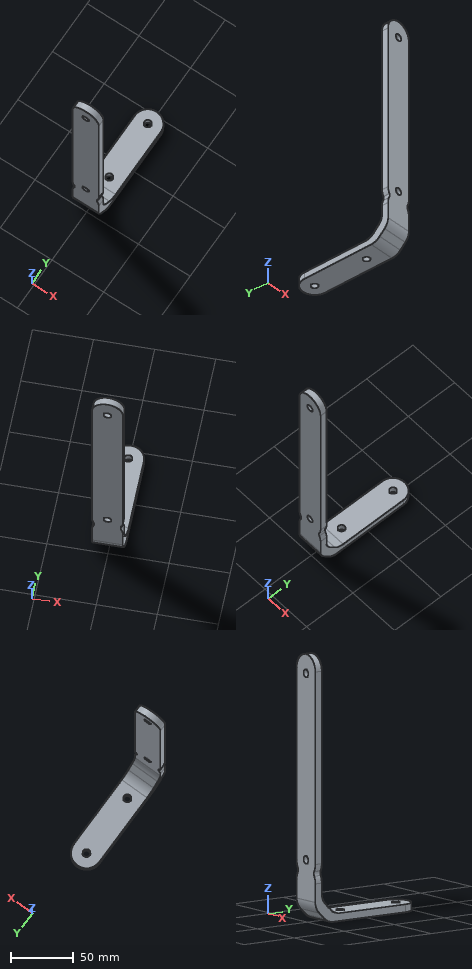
import cadquery as cq
import math

width = 25.5
thickness = 6.5
height = 219.0
depth = 102.3
end_radius = width / 2

bevel = 12.7
bend_radius = 12.7

hole_diameter = 6.4
upright_hole_heights = (50.8, 203.3)
foot_hole_depths = (34.2, 89.8)

waist_height = 41.2
waist_half_length = 7.9
waist_depth = 2.0
waist_root_radius = 4.0

waist_angle = 2 * math.atan(waist_depth / waist_half_length)
waist_radii_sum = waist_half_length / math.sin(waist_angle)
waist_shoulder_radius = waist_radii_sum - waist_root_radius


def make_angle():
    """L-shaped side profile in the YZ plane, extruded across the width."""
    profile = (
        cq.Workplane("YZ")
        .moveTo(bevel, 0)
        .lineTo(depth, 0)
        .lineTo(depth, thickness)
        .lineTo(thickness + bevel, thickness)
        .lineTo(thickness, thickness + bevel)
        .lineTo(thickness, height)
        .lineTo(0, height)
        .lineTo(0, bevel)
        .close()
        .extrude(width / 2, both=True)
    )
    margin = 2.2
    corner_reach = thickness + bevel + margin
    corner_box = cq.selectors.BoxSelector(
        (-width, -margin, -margin), (width, corner_reach, corner_reach)
    )
    return profile.edges("|X").edges(corner_box).fillet(bend_radius)


def round_ends(body):
    """Trim the free end of each leg to a half circle of the strap width."""
    upright_outline = round_ended_outline("XZ", height).extrude(-depth)
    foot_outline = round_ended_outline("XY", depth).extrude(height)
    return body.intersect(upright_outline).intersect(foot_outline)


def round_ended_outline(plane, length):
    """Strap outline from the corner to a half-round tip at the given length."""
    return (
        cq.Workplane(plane)
        .moveTo(-width / 2, 0)
        .lineTo(width / 2, 0)
        .lineTo(width / 2, length - end_radius)
        .threePointArc((0, length), (-width / 2, length - end_radius))
        .close()
    )


def drill_holes(body):
    upright_holes = (
        cq.Workplane("XZ")
        .pushPoints([(0, z) for z in upright_hole_heights])
        .circle(hole_diameter / 2)
        .extrude(-thickness)
    )
    foot_holes = (
        cq.Workplane("XY")
        .pushPoints([(0, y) for y in foot_hole_depths])
        .circle(hole_diameter / 2)
        .extrude(thickness)
    )
    return body.cut(upright_holes).cut(foot_holes)


def make_waist_notch():
    """Notch at the +X edge: shoulder arc, root arc, shoulder arc, all tangent."""
    edge_x = width / 2
    root_x = edge_x - waist_depth

    def root_point(angle):
        x = root_x + waist_root_radius * (1 - math.cos(angle))
        return x, waist_height + waist_root_radius * math.sin(angle)

    def shoulder_point(angle, side):
        x = edge_x - waist_shoulder_radius * (1 - math.cos(angle))
        rise = waist_half_length - waist_shoulder_radius * math.sin(angle)
        return x, waist_height + side * rise

    return (
        cq.Workplane("XZ")
        .moveTo(edge_x, waist_height - waist_half_length)
        .threePointArc(shoulder_point(waist_angle / 2, -1), root_point(-waist_angle))
        .threePointArc((root_x, waist_height), root_point(waist_angle))
        .threePointArc(
            shoulder_point(waist_angle / 2, 1), (edge_x, waist_height + waist_half_length)
        )
        .close()
        .extrude(-thickness)
    )


body = drill_holes(round_ends(make_angle()))
notch = make_waist_notch()
result = body.cut(notch).cut(notch.mirror("YZ"))